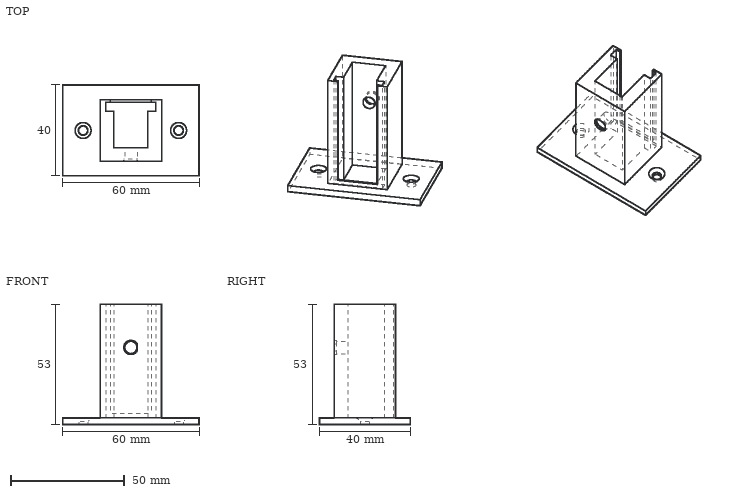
import cadquery as cq

PLATE_LENGTH = 60.0
PLATE_WIDTH = 40.0
PLATE_THICKNESS = 3.0

MOUNT_HOLE_SPACING = 42.0
MOUNT_HOLE_DIAMETER = 4.0
COUNTERSINK_DIAMETER = 7.0
COUNTERSINK_ANGLE = 90.0

TOWER_SIDE = 27.0
TOWER_HEIGHT = 50.0
TOWER_TOP = PLATE_THICKNESS + TOWER_HEIGHT
TOWER_FRONT = -TOWER_SIDE / 2
TOWER_BACK = TOWER_SIDE / 2

CAVITY_SIDE = 15.0
CAVITY_FRONT = -CAVITY_SIDE / 2
CAVITY_BACK = CAVITY_SIDE / 2
CAVITY_FLOOR = PLATE_THICKNESS

LIP_THICKNESS = 1.0
LIP_OVERLAP = 2.0
SLOT_WIDTH = 22.0
SLOT_THICKNESS = 4.0
SLOT_BACK = TOWER_BACK - LIP_THICKNESS
SLOT_FRONT = SLOT_BACK - SLOT_THICKNESS

WINDOW_WIDTH = SLOT_WIDTH - 2 * LIP_OVERLAP
WINDOW_FLOOR = CAVITY_FLOOR + LIP_OVERLAP

HOLE_HEIGHT = 34.0
BORE_DIAMETER = 5.4
MOUTH_DIAMETER = 6.2
MOUTH_DEPTH = 1.0
MOUTH_FLAT_X = BORE_DIAMETER / 2


def base_plate():
    plate = cq.Workplane("XY").box(PLATE_LENGTH, PLATE_WIDTH, PLATE_THICKNESS, centered=(True, True, False))
    return (
        plate.faces(">Z").workplane()
        .rarray(MOUNT_HOLE_SPACING, 1, 2, 1)
        .cskHole(MOUNT_HOLE_DIAMETER, COUNTERSINK_DIAMETER, COUNTERSINK_ANGLE)
    )


def upright_block(width, front, back, floor):
    """Block centred on X that reaches from a floor up to the top of the tower."""
    block = cq.Workplane("XY").box(width, back - front, TOWER_TOP - floor, centered=(True, False, False))
    return block.translate((0, front, floor))


def tower_spaces():
    """Cutters for the cavity, its passage to the slot, the slot and the rear window."""
    return [
        upright_block(CAVITY_SIDE, CAVITY_FRONT, CAVITY_BACK, CAVITY_FLOOR),
        upright_block(CAVITY_SIDE, CAVITY_BACK, SLOT_FRONT, CAVITY_FLOOR),
        upright_block(SLOT_WIDTH, SLOT_FRONT, SLOT_BACK, CAVITY_FLOOR),
        upright_block(WINDOW_WIDTH, SLOT_BACK, TOWER_BACK, WINDOW_FLOOR),
    ]


def hole_cylinder(diameter, start, end):
    """Cylinder along Y at the hole's height, between two Y positions."""
    plane = cq.Workplane("XZ", origin=(0, start, HOLE_HEIGHT))
    return plane.circle(diameter / 2).extrude(start - end)


def front_hole():
    """Cutter for the front wall: a mouth with a flat on its +X side, then a round bore."""
    mouth_end = TOWER_FRONT + MOUTH_DEPTH
    mouth = hole_cylinder(MOUTH_DIAMETER, TOWER_FRONT, mouth_end)
    beyond_flat = cq.Workplane("XY").box(
        MOUTH_DIAMETER, MOUTH_DEPTH, MOUTH_DIAMETER, centered=(False, False, True)
    )
    mouth = mouth.cut(beyond_flat.translate((MOUTH_FLAT_X, TOWER_FRONT, HOLE_HEIGHT)))
    bore = hole_cylinder(BORE_DIAMETER, mouth_end, CAVITY_FRONT)
    return mouth.union(bore)


tower = upright_block(TOWER_SIDE, TOWER_FRONT, TOWER_BACK, PLATE_THICKNESS)
result = base_plate().union(tower)

for space in tower_spaces():
    result = result.cut(space, clean=False)
result = result.cut(front_hole(), clean=False)